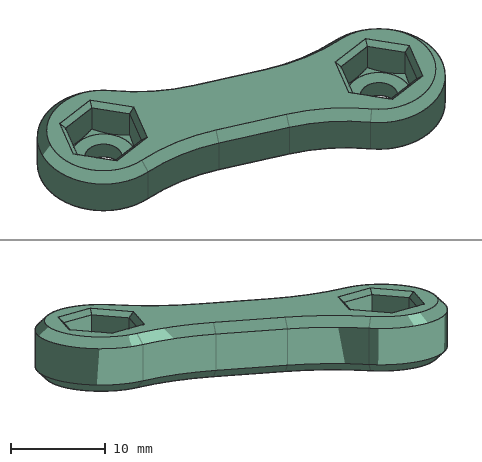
import cadquery as cq
import math

hole_offset_x = 24.82
hole_offset_y = 17.73
end_radius = 7.0
bar_width = 9.0
neck_radius = 20.0
thickness = 6.0
edge_chamfer = 1.0

hole_diameter = 4.0
pocket_width = 7.1
pocket_depth = 4.05
mouth_chamfer = 0.55
floor_diameter = 7.0
floor_cone_angle = 30.0
hexagon_turn = 30.0

hole_spacing = math.hypot(hole_offset_x, hole_offset_y)
link_angle = math.degrees(math.atan2(hole_offset_y, hole_offset_x))
half_spacing = hole_spacing / 2
half_bar = bar_width / 2
pocket_floor_z = thickness - pocket_depth
floor_radius = floor_diameter / 2
mouth_width = pocket_width + 2 * mouth_chamfer
corner_ratio = 1 / math.cos(math.pi / 6)

neck_center_y = half_bar + neck_radius
neck_run = math.sqrt((neck_radius + end_radius) ** 2 - neck_center_y ** 2)
bar_end_x = half_spacing - neck_run
end_share = end_radius / (neck_radius + end_radius)
tangent_x = half_spacing - neck_run * end_share
tangent_y = neck_center_y * end_share
half_turn = math.asin(neck_run / (neck_radius + end_radius)) / 2
neck_mid_x = bar_end_x + neck_radius * math.sin(half_turn)
neck_mid_y = neck_center_y - neck_radius * math.cos(half_turn)


def link_body():
    """Plate lying along X, chamfered around both faces."""
    outline = (
        cq.Workplane("XY")
        .moveTo(-bar_end_x, half_bar)
        .lineTo(bar_end_x, half_bar)
        .threePointArc((neck_mid_x, neck_mid_y), (tangent_x, tangent_y))
        .threePointArc((half_spacing + end_radius, 0), (tangent_x, -tangent_y))
        .threePointArc((neck_mid_x, -neck_mid_y), (bar_end_x, -half_bar))
        .lineTo(-bar_end_x, -half_bar)
        .threePointArc((-neck_mid_x, -neck_mid_y), (-tangent_x, -tangent_y))
        .threePointArc((-half_spacing - end_radius, 0), (-tangent_x, tangent_y))
        .threePointArc((-neck_mid_x, neck_mid_y), (-bar_end_x, half_bar))
        .close()
    )
    return outline.extrude(thickness).faces("<Z or >Z").chamfer(edge_chamfer)


def hexagon(plane, width):
    """Hexagon of the given width across flats, added to the workplane."""
    return plane.polygon(6, width * corner_ratio)


def nut_pocket():
    """Hexagonal pocket whose corners rise along a cone around a round floor."""
    floor = cq.Workplane("XY").workplane(offset=pocket_floor_z)
    hexagonal_hole = hexagon(floor, pocket_width).extrude(pocket_depth)

    trim_radius = pocket_width
    cone_rise = (trim_radius - floor_radius) * math.tan(math.radians(floor_cone_angle))
    corner_trim = (
        cq.Workplane("XZ")
        .moveTo(0, pocket_floor_z)
        .lineTo(floor_radius, pocket_floor_z)
        .lineTo(trim_radius, pocket_floor_z + cone_rise)
        .lineTo(trim_radius, thickness)
        .lineTo(0, thickness)
        .close()
        .revolve(360, (0, 0, 0), (0, 1, 0))
    )
    return hexagonal_hole.intersect(corner_trim)


def pocket_mouth():
    """Hexagonal flare that chamfers the top edge of the pocket."""
    lower = cq.Workplane("XY").workplane(offset=thickness - mouth_chamfer)
    upper = hexagon(lower, pocket_width).workplane(offset=mouth_chamfer)
    return hexagon(upper, mouth_width).loft(ruled=True)


def end_cutter():
    """Bolt hole and nut pocket on the Z axis."""
    hole = cq.Workplane("XY").circle(hole_diameter / 2).extrude(thickness)
    cutter = nut_pocket().union(pocket_mouth()).union(hole)
    return cutter.rotate((0, 0, 0), (0, 0, 1), hexagon_turn)


link = link_body()
for end_x in (-half_spacing, half_spacing):
    link = link.cut(end_cutter().translate((end_x, 0, 0)))

result = link.rotate((0, 0, 0), (0, 0, 1), link_angle)